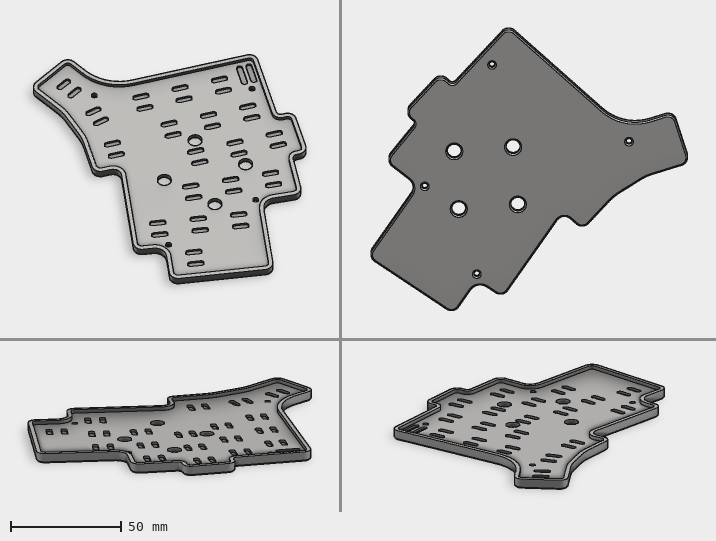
import cadquery as cq
import math

height = 4.7
rim_width = 2.0
rim_height = 1.7
slot_depth = 1.1
bottom_chamfer = 0.7

ring_tilt = -4
outer_tilt = -8
thumb_tilt = 15
far_thumb_tilt = 30

corner = 4.0
step = 2.0
notch = 5.4
sweep = 22.0

sides = [
    ((19.1, 70.8), 90, corner),
    ((38.2, 102.5), 0, step),
    ((56.5, 106.1), 90, corner),
    ((68.6, 110.1), 0, corner),
    ((80.8, 106.1), -90, step),
    ((91.3, 102.0), ring_tilt, corner),
    ((102.6, 91.5), ring_tilt - 90, notch),
    ((122.3, 79.8), outer_tilt, corner),
    ((138.5, 53.9), outer_tilt - 90, corner),
    ((126.7, 31.3), outer_tilt + 180, notch),
    ((115.5, 25.9), outer_tilt - 90, corner),
    ((90.9, 22.1), outer_tilt + 180, corner),
    ((66.5, 18.4), -90, corner),
    ((56.6, 13.3), 180, sweep),
    ((37.1, 11.0), thumb_tilt + 180, sweep),
    ((20.5, 4.1), far_thumb_tilt + 180, corner),
    ((4.7, 8.6), far_thumb_tilt + 90, corner),
    ((5.5, 23.8), far_thumb_tilt, sweep),
]

pair_spacing = 6.8
slot_length = 7.5
slot_width = 2.7
key_pitch = 18.5

key_columns = [
    ((31.5, 64.4), 0),
    ((50.1, 72.6), 0),
    ((68.6, 80.0), 0),
    ((88.9, 72.0), ring_tilt),
    ((106.7, 51.5), outer_tilt),
]
single_keys = [
    ((124.8, 44.5), outer_tilt),
    ((54.3, 26.0), 0),
    ((33.8, 23.6), thumb_tilt),
    ((14.9, 15.7), far_thumb_tilt),
]

long_slot_length = 11.0
long_slot_centers = [(28.6, 98.0), (28.6, 93.5)]

large_diameter = 6.4
large_centers = [(78.7, 81.2), (59.2, 62.8), (97.2, 61.5), (77.5, 43.2)]
small_diameter = 2.5
small_centers = [(37.2, 95.8), (99.8, 80.1), (114.2, 35.0), (21.8, 25.6)]

floor_height = height - rim_height


def direction(angle):
    return cq.Vector(math.cos(math.radians(angle)), math.sin(math.radians(angle)))


def meeting_point(side, next_side):
    """Point where the straight lines of two sides cross."""
    start, along = cq.Vector(*side[0]), direction(side[1])
    next_start, next_along = cq.Vector(*next_side[0]), direction(next_side[1])
    distance = (next_start - start).cross(next_along).z / along.cross(next_along).z
    return start + along * distance


def corner_arc(side, next_side):
    """Start, middle and end of the arc that rounds the corner between two sides."""
    along, next_along, radius = direction(side[1]), direction(next_side[1]), side[2]
    half_turn = along.getAngle(next_along) / 2
    tangent = radius * math.tan(half_turn)
    vertex = meeting_point(side, next_side)
    inward = (next_along - along).normalized()
    middle = vertex + inward * (radius / math.cos(half_turn) - radius)
    return vertex - along * tangent, middle, vertex + next_along * tangent


def rounded_outline():
    arcs = [corner_arc(side, sides[(i + 1) % len(sides)]) for i, side in enumerate(sides)]
    sketch = cq.Workplane("XY").moveTo(*arcs[-1][2].toTuple()[:2])
    for start, middle, end in arcs:
        sketch = sketch.lineTo(start.x, start.y).threePointArc(middle.toTuple()[:2], end.toTuple()[:2])
    return sketch.close()


def slot(center, length, angle):
    return (
        cq.Workplane("XY", origin=(*center, floor_height - slot_depth))
        .slot2D(length, slot_width, angle)
        .extrude(slot_depth)
    )


def key_slots(center, tilt):
    """Two slots side by side, turned with their key."""
    offset = direction(tilt) * (pair_spacing / 2)
    middle = cq.Vector(*center)
    places = [middle - offset, middle + offset]
    return [slot((place.x, place.y), slot_length, tilt + 90) for place in places]


def column_keys(center, tilt):
    """The keys of a column, spread evenly about its middle key."""
    along = direction(tilt + 90) * key_pitch
    middles = [cq.Vector(*center) + along * row for row in (-1, 0, 1)]
    return [((middle.x, middle.y), tilt) for middle in middles]


plate = rounded_outline().extrude(height)
pocket = rounded_outline().offset2D(-rim_width).extrude(rim_height)
tray = plate.cut(pocket.translate((0, 0, floor_height)))

keys = list(single_keys)
for column in key_columns:
    keys += column_keys(*column)
for key in keys:
    for key_slot in key_slots(*key):
        tray = tray.cut(key_slot)
for slot_center in long_slot_centers:
    tray = tray.cut(slot(slot_center, long_slot_length, 0))

for diameter, centers in ((large_diameter, large_centers), (small_diameter, small_centers)):
    holes = cq.Workplane("XY").pushPoints(centers).circle(diameter / 2).extrude(floor_height)
    tray = tray.cut(holes)

result = tray.faces("<Z").chamfer(bottom_chamfer)